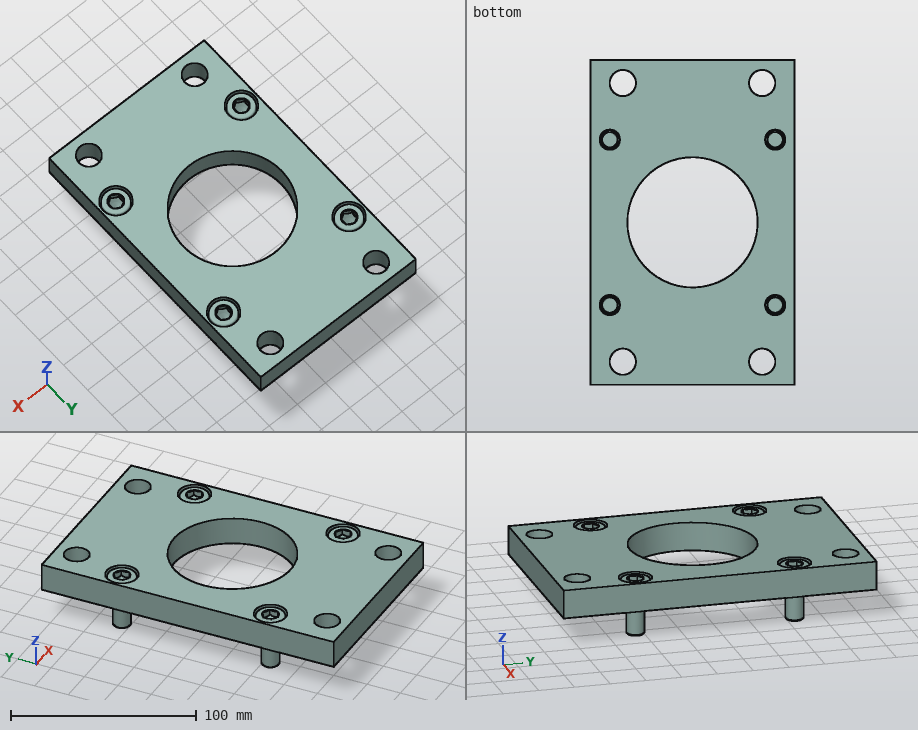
import cadquery as cq
import math

plate_width = 110.0
plate_length = 175.0
plate_thickness = 16.0
bore_diameter = 70.0
mounting_hole_diameter = 14.0
mounting_pitch_x = 75.0
mounting_pitch_y = 150.0

screw_pitch = 89.0
counterbore_diameter = 18.0
clearance_diameter = 11.0
head_recess = 0.5

shank_diameter = 10.0
shank_projection = 16.0
shank_chamfer = 0.9
head_diameter = 16.0
head_height = 10.0
head_edge_fillet = 1.0
socket_across_flats = 8.0
socket_across_corners = socket_across_flats / math.cos(math.pi / 6)
socket_turn_degrees = 30.0
socket_mouth_angle = math.radians(30)
socket_wall_depth = 3.0
socket_cone_depth = 2.5
socket_tip_diameter = 5.0
socket_tip_depth = 2.5

head_top = -head_recess
seat_level = head_top - head_height
shank_end = -plate_thickness - shank_projection


def make_plate():
    """Rectangular plate with a central bore, corner holes and counterbored screw holes."""
    return (
        cq.Workplane("XY")
        .box(plate_width, plate_length, plate_thickness, centered=(True, True, False))
        .translate((0, 0, -plate_thickness))
        .faces(">Z")
        .workplane()
        .hole(bore_diameter)
        .rarray(mounting_pitch_x, mounting_pitch_y, 2, 2)
        .hole(mounting_hole_diameter)
        .rarray(screw_pitch, screw_pitch, 2, 2)
        .cboreHole(clearance_diameter, counterbore_diameter, -seat_level)
    )


def revolve_profile(points):
    """Solid of revolution about Z from (radius, height) points."""
    return cq.Workplane("XZ").polyline(points).close().revolve()


def make_socket():
    """Hexagonal key socket with a countersunk mouth and a two-step conical floor."""
    corner_radius = socket_across_corners / 2
    tip_radius = socket_tip_diameter / 2
    mouth_depth = corner_radius * math.tan(socket_mouth_angle)
    cone_start = head_top - socket_wall_depth
    cone_end = cone_start - socket_cone_depth
    tip_end = cone_end - socket_tip_depth

    hexagon = (
        cq.Workplane("XY", origin=(0, 0, head_top))
        .polygon(6, socket_across_corners)
        .extrude(tip_end - head_top)
        .rotate((0, 0, 0), (0, 0, 1), socket_turn_degrees)
    )
    floor = revolve_profile(
        [
            (0, head_top),
            (corner_radius, head_top),
            (corner_radius, cone_start),
            (tip_radius, cone_end),
            (0, tip_end),
        ]
    )
    mouth = revolve_profile(
        [
            (0, head_top),
            (corner_radius, head_top),
            (0, head_top - mouth_depth),
        ]
    )
    return hexagon.intersect(floor).union(mouth)


def make_screw():
    """Screw on the Z axis with a rounded head edge and a chamfered shank end."""
    head = (
        cq.Workplane("XY", origin=(0, 0, seat_level))
        .circle(head_diameter / 2)
        .extrude(head_height)
        .faces(">Z")
        .fillet(head_edge_fillet)
    )
    shank = (
        cq.Workplane("XY", origin=(0, 0, shank_end))
        .circle(shank_diameter / 2)
        .extrude(seat_level - shank_end)
        .faces("<Z")
        .chamfer(shank_chamfer)
    )
    return head.union(shank).cut(make_socket())


plate = make_plate()
screws = [
    make_screw().translate((x, y, 0))
    for x in (-screw_pitch / 2, screw_pitch / 2)
    for y in (-screw_pitch / 2, screw_pitch / 2)
]

result = cq.Compound.makeCompound([plate.val(), *[screw.val() for screw in screws]])